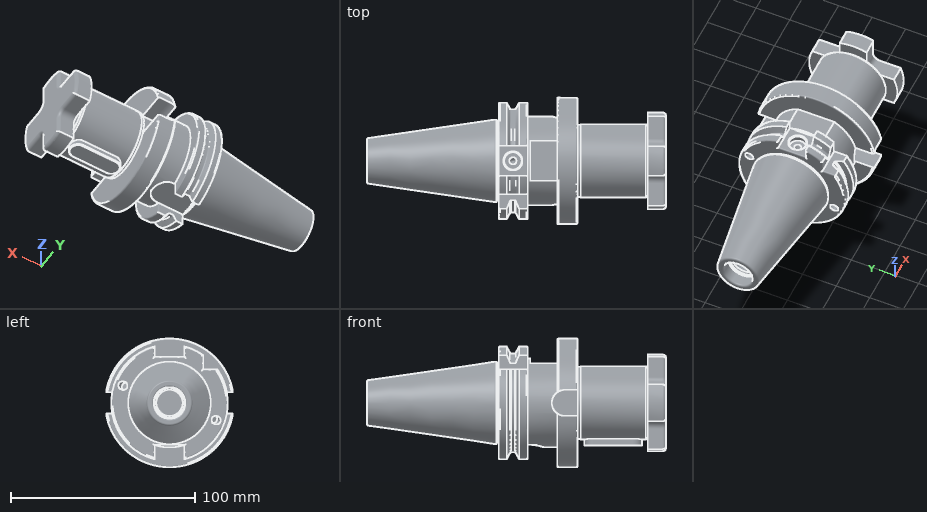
import cadquery as cq
import math

GAUGE_X = 69.2
GAUGE_R = 22.4
TAPER_SLOPE = 7 / 48
NOSE_FILLET = 1.1
BORE_R = 8.6
THREAD_R = 7.1
BORE_DEPTH = 7.1
BORE_STEP_R = 8.1
BORE_STEP_LENGTH = 0.5
THREAD_DEPTH = 32.5

FLANGE_X = 71.5
FLANGE_END_X = 87.4
FLANGE_R = 31.7
FLANGE_FILLET = 0.8
RELIEF_X = 70.2
RELIEF_DEPTH = 0.6
V_CENTRE_X = 79.3
V_TOP_WIDTH = 6.7
V_BOTTOM_WIDTH = 2.8
V_BOTTOM_R = 28.1
V_BOTTOM_FILLET = 0.8
KEYWAY_WIDTH = 16.2
TOP_KEYWAY_Z = 25.0
BOTTOM_KEYWAY_Z = -22.7
BOTTOM_KEYWAY_END_X = 96.1
NOTCH_OFFSET = 18.2
DATA_HOLE_R = 5.2
DATA_HOLE_DEPTH = 4.0
DATA_MOUTH_CHAMFER = 0.5
DATA_TIP_R = 2.0
DATA_TIP_DEPTH = 2.0
COOLANT_CIRCLE_R = 27.0
COOLANT_ANGLE = 20.3
COOLANT_TILT = 25.0
COOLANT_R = 2.3
COOLANT_DEPTH = 3.9

NECK_R = 24.2
NECK_FLAT_Z = 21.6
NECK_FLAT_X = 88.7
COLLAR_X = 103.3
COLLAR_END_X = 114.3
COLLAR_R = 70.0 / 2
COLLAR_FILLET = 0.8
DRIVE_SLOT_WIDTH = 14.1
DRIVE_SLOT_X = 100.4
DRIVE_SLOT_Y = 18.0

SPIGOT_R = 20.0
SPIGOT_END_X = 152.3
SPIGOT_CHAMFER = 1.0
UNDERCUT_R = 19.7
UNDERCUT_WIDTH = 1.6
KEY_X = 117.9
KEY_LENGTH = 31.5
KEY_WIDTH = 10.0
KEY_BOTTOM_Z = -23.4
KEY_TOP_Z = -15.5
KEY_CHAMFER = 0.5

TOTAL_LENGTH = 162.4
SCREW_R = 26.3
Z_LOBE_WIDTH = 16.0
Y_LOBE_WIDTH = 20.0
LOBE_FILLET = 3.9
SCREW_EDGE_FILLET = 2.0


def box(x0, x1, y0, y1, z0, z1):
    """Axis-parallel box given by its limits."""
    return cq.Workplane("XY").box(x1 - x0, y1 - y0, z1 - z0, centered=False).translate((x0, y0, z0))


def turned(outline):
    """Solid of revolution about X from an outline of (x, radius) points."""
    return cq.Workplane("XY").polyline(outline).close().revolve(360, (0, 0, 0), (1, 0, 0))


def disc(x0, x1, radius):
    """Disc about the X axis."""
    return cq.Workplane("YZ", origin=(x0, 0, 0)).circle(radius).extrude(x1 - x0)


def stem():
    """Cone, neck and spigot, without the flange and the collar."""
    nose_r = GAUGE_R - TAPER_SLOPE * GAUGE_X
    relief_r = GAUGE_R - RELIEF_DEPTH
    return turned([
        (0, 0),
        (0, nose_r),
        (GAUGE_X, GAUGE_R),
        (RELIEF_X, GAUGE_R),
        (RELIEF_X + RELIEF_DEPTH, relief_r),
        (FLANGE_X, relief_r),
        (FLANGE_X, NECK_R),
        (COLLAR_END_X, NECK_R),
        (COLLAR_END_X, UNDERCUT_R),
        (COLLAR_END_X + UNDERCUT_WIDTH, UNDERCUT_R),
        (COLLAR_END_X + UNDERCUT_WIDTH, SPIGOT_R),
        (SPIGOT_END_X - SPIGOT_CHAMFER, SPIGOT_R),
        (SPIGOT_END_X, SPIGOT_R - SPIGOT_CHAMFER),
        (SPIGOT_END_X, 0),
    ])


def bore():
    """Stepped blind bore in the small end of the cone, with 45-degree shoulders."""
    step_x = BORE_DEPTH + BORE_R - BORE_STEP_R
    step_end_x = step_x + BORE_STEP_LENGTH
    return turned([
        (0, 0),
        (0, BORE_R),
        (BORE_DEPTH, BORE_R),
        (step_x, BORE_STEP_R),
        (step_end_x, BORE_STEP_R),
        (step_end_x + BORE_STEP_R - THREAD_R, THREAD_R),
        (THREAD_DEPTH, THREAD_R),
        (THREAD_DEPTH, 0),
    ])


def v_groove():
    """Gripper groove around the flange, with a rounded bottom."""
    profile = (
        cq.Sketch()
        .polygon([
            (V_CENTRE_X - V_TOP_WIDTH / 2, FLANGE_R),
            (V_CENTRE_X - V_BOTTOM_WIDTH / 2, V_BOTTOM_R),
            (V_CENTRE_X + V_BOTTOM_WIDTH / 2, V_BOTTOM_R),
            (V_CENTRE_X + V_TOP_WIDTH / 2, FLANGE_R),
            (V_CENTRE_X - V_TOP_WIDTH / 2, FLANGE_R),
        ])
        .vertices("<Y")
        .fillet(V_BOTTOM_FILLET)
    )
    return cq.Workplane("XY").placeSketch(profile).revolve(360, (0, 0, 0), (1, 0, 0))


def bottom_keyway():
    """Bottom keyway, running out with a round end in the neck."""
    half = KEYWAY_WIDTH / 2
    round_x = BOTTOM_KEYWAY_END_X - half
    round_end = (
        cq.Workplane("XY", origin=(round_x, 0, -FLANGE_R))
        .circle(half)
        .extrude(FLANGE_R + BOTTOM_KEYWAY_Z)
    )
    return box(FLANGE_X, round_x, -half, half, -FLANGE_R, BOTTOM_KEYWAY_Z).union(round_end)


def gripper_flange():
    """Flange with two keyways, a corner notch and the gripper groove."""
    half = KEYWAY_WIDTH / 2
    top_keyway = box(FLANGE_X, FLANGE_END_X, -half, half, TOP_KEYWAY_Z, FLANGE_R)
    notch = box(FLANGE_X, FLANGE_END_X, -FLANGE_R, -NOTCH_OFFSET, NOTCH_OFFSET, FLANGE_R)
    flange = disc(FLANGE_X, FLANGE_END_X, FLANGE_R).cut(top_keyway).cut(notch).cut(bottom_keyway())
    return flange.faces("<X or >X").edges().fillet(FLANGE_FILLET).cut(v_groove())


def data_hole():
    """Blind hole in the top keyway, with a chamfered mouth and a small conical tip."""
    floor_z = TOP_KEYWAY_Z - DATA_HOLE_DEPTH
    half_profile = [
        (0, TOP_KEYWAY_Z),
        (DATA_HOLE_R, TOP_KEYWAY_Z),
        (DATA_HOLE_R - DATA_MOUTH_CHAMFER, TOP_KEYWAY_Z - DATA_MOUTH_CHAMFER),
        (DATA_HOLE_R - DATA_MOUTH_CHAMFER, floor_z),
        (DATA_TIP_R, floor_z),
        (0, floor_z - DATA_TIP_DEPTH),
    ]
    hole = cq.Workplane("XZ").polyline(half_profile).close().revolve(360, (0, 0, 0), (0, 1, 0))
    return hole.translate((V_CENTRE_X, 0, 0))


def coolant_holes():
    """Two opposite blind holes in the flange face, tilted towards the axis."""
    tilt = math.radians(COOLANT_TILT)
    direction = cq.Vector(math.cos(tilt), -math.sin(tilt), 0)
    mouth = cq.Vector(FLANGE_X, COOLANT_CIRCLE_R, 0)
    drill = cq.Solid.makeCylinder(
        COOLANT_R, COOLANT_DEPTH + 2 * COOLANT_R, mouth - direction * (2 * COOLANT_R), direction
    )
    hole = cq.Workplane(drill).rotate((0, 0, 0), (1, 0, 0), COOLANT_ANGLE)
    return hole.union(hole.rotate((0, 0, 0), (1, 0, 0), 180))


def neck_flat():
    """Flat on top of the neck, up to the collar."""
    return box(NECK_FLAT_X, COLLAR_X, -NECK_R, NECK_R, NECK_FLAT_Z, NECK_R)


def drive_slots():
    """Round-ended slots on the two Y sides of the collar."""
    half = DRIVE_SLOT_WIDTH / 2
    round_x = DRIVE_SLOT_X + half
    depth = COLLAR_R - DRIVE_SLOT_Y
    slot = box(round_x, COLLAR_END_X, DRIVE_SLOT_Y, COLLAR_R, -half, half)
    slot = slot.union(
        cq.Workplane("XZ", origin=(round_x, COLLAR_R, 0)).circle(half).extrude(depth)
    )
    return slot.union(slot.mirror("XZ"))


def make_key():
    """Round-ended parallel key under the spigot."""
    return (
        cq.Workplane("XY", origin=(KEY_X + KEY_LENGTH / 2, 0, KEY_BOTTOM_Z))
        .slot2D(KEY_LENGTH, KEY_WIDTH)
        .extrude(KEY_TOP_Z - KEY_BOTTOM_Z)
        .faces("<Z")
        .chamfer(KEY_CHAMFER)
    )


def make_screw():
    """Four-lobed screw head against the end of the spigot."""
    z_lobes = box(SPIGOT_END_X, TOTAL_LENGTH, -Z_LOBE_WIDTH / 2, Z_LOBE_WIDTH / 2, -SCREW_R, SCREW_R)
    y_lobes = box(SPIGOT_END_X, TOTAL_LENGTH, -SCREW_R, SCREW_R, -Y_LOBE_WIDTH / 2, Y_LOBE_WIDTH / 2)
    inner_corners = cq.selectors.BoxSelector(
        (SPIGOT_END_X, -Z_LOBE_WIDTH, -Y_LOBE_WIDTH), (TOTAL_LENGTH, Z_LOBE_WIDTH, Y_LOBE_WIDTH)
    )
    cross = z_lobes.union(y_lobes).edges("|X").edges(inner_corners).fillet(LOBE_FILLET)
    head = cross.intersect(disc(SPIGOT_END_X, TOTAL_LENGTH, SCREW_R))
    return head.faces(">X").edges().fillet(SCREW_EDGE_FILLET)


def make_holder(key):
    """Tool holder with a seat for the key."""
    collar = disc(COLLAR_X, COLLAR_END_X, COLLAR_R).edges().fillet(COLLAR_FILLET)
    shank = stem().cut(bore()).faces("<X").edges().fillet(NOSE_FILLET)
    body = shank.cut(bottom_keyway()).union(gripper_flange()).union(collar)
    for cutter in (data_hole(), coolant_holes(), neck_flat(), drive_slots(), key):
        body = body.cut(cutter)
    return body


key = make_key()
screw = make_screw()
holder = make_holder(key)
result = cq.Compound.makeCompound([holder.val(), key.val(), screw.val()])